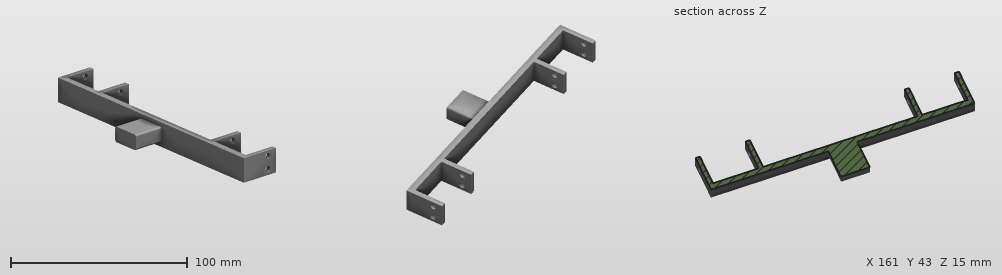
import cadquery as cq

bar_length = 161.0
bar_height = 15.0
bar_thickness = 4.0

arm_reach = 20.0
arm_thickness = 3.0
arm_pair_gap = 27.5

hole_diameter = 3.6
hole_spacing = 8.0
hole_to_arm_end = 6.0

tang_width = 17.9
tang_height = 9.5
tang_length = 19.0
tang_corner_radius = 1.2

arm_end_y = bar_thickness + arm_reach
outer_arm_x = (bar_length - arm_thickness) / 2
inner_arm_x = outer_arm_x - arm_pair_gap - arm_thickness


def make_bar():
    """Crossbar with its front face on Y = 0."""
    bar = cq.Workplane("XY").box(bar_length, bar_thickness, bar_height)
    return bar.translate((0, bar_thickness / 2, 0))


def make_arm(center_x):
    """Arm running from the bar's front face to the arm end."""
    arm = cq.Workplane("XY").box(arm_thickness, arm_end_y, bar_height)
    return arm.translate((center_x, arm_end_y / 2, 0))


def make_tang():
    """Tang with its long edges rounded, projecting from the middle of the bar's front face."""
    tang = cq.Workplane("XY").box(tang_width, tang_length, tang_height)
    tang = tang.edges("|Y").fillet(tang_corner_radius)
    return tang.translate((0, -tang_length / 2, 0))


def make_hole_pair():
    """Two drill cylinders, one above the other, long enough to cross all four arms."""
    hole_y = arm_end_y - hole_to_arm_end
    return (
        cq.Workplane("YZ")
        .pushPoints([(hole_y, -hole_spacing / 2), (hole_y, hole_spacing / 2)])
        .circle(hole_diameter / 2)
        .extrude(bar_length / 2, both=True)
    )


result = make_bar().union(make_tang())
for side in (-1, 1):
    for arm_x in (inner_arm_x, outer_arm_x):
        result = result.union(make_arm(side * arm_x))
result = result.cut(make_hole_pair())